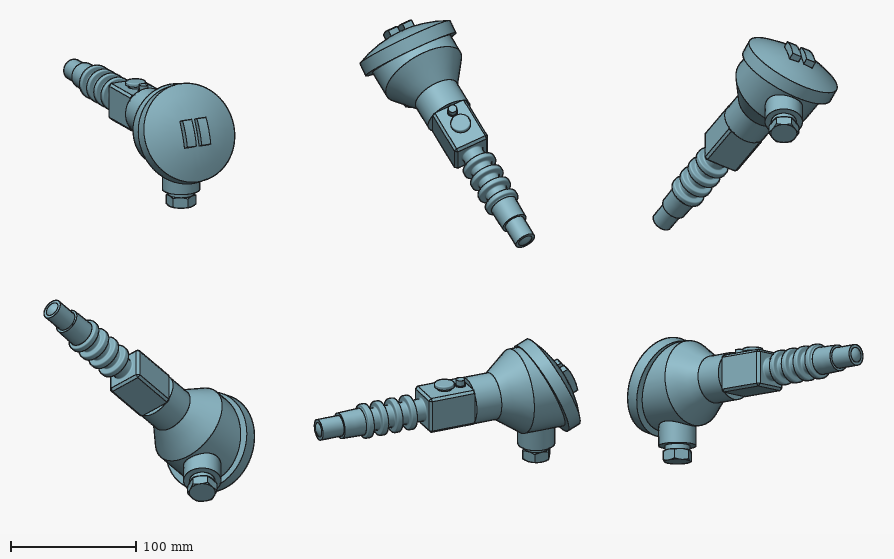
import cadquery as cq
import math


tip_height = 2.3
tip_base_d = 12.0
tip_tube_d = 17.0
sleeve_start = 20.7
sleeve_start_d = 21.0
sleeve_end_d = 22.0
shaft_d = 18.0

rib_count = 4
rib_start = 40.3
rib_pitch = 12.5
rib_width = 5.0
rib_d = 28.0
rib_edge_radius = 1.1
root_radius = 1.01

block_start = 93.2
block_side = 30.0
block_chamfer = 2.0
button_x = 112.8
button_d = 16.0
button_stem_d = 12.0
button_stem_height = 2.0
button_height = 4.7
button_edge_radius = 1.0
pin_x = 126.8
pin_d = 7.0
pin_foot_d = 8.3
pin_foot_height = 0.7
pin_height = 5.5

neck_start = 132.6
neck_d = 38.0
cone_start = 154.5
drum_start = 176.0
drum_d = 68.7

lid_tilt = 23.0
lid_d = 80.0
lid_thickness = 10.8
lid_face_x = 208.0
lid_face_z = 2.3
dome_height = 9.2
lug_height = 13.3
lug_top_bulge = 1.1
lug_length = 21.8
lug_offset = -1.5
lug_gap = 4.7
lug_width = 8.0

gland_x = 193.5
gland_boss_d = 30.0
gland_boss_end = -48.9
gland_neck_d = 20.3
nut_top = -53.0
nut_bottom = -61.7
nut_flats = 20.7
nut_chamfer_angle = 30.0


def x_cylinder(start, end, diameter):
    """Cylinder on the probe axis between two X positions."""
    return cq.Workplane("YZ", origin=(start, 0, 0)).circle(diameter / 2).extrude(end - start)


def x_cone(start, end, start_d, end_d):
    """Truncated cone on the probe axis between two X positions."""
    axis_start = cq.Vector(start, 0, 0)
    axis_dir = cq.Vector(1, 0, 0)
    return cq.Workplane(cq.Solid.makeCone(start_d / 2, end_d / 2, end - start, axis_start, axis_dir))


def z_cylinder(x, bottom, top, diameter):
    """Upright cylinder between two Z positions."""
    return cq.Workplane("XY", origin=(x, 0, bottom)).circle(diameter / 2).extrude(top - bottom)


def around_probe(profile):
    """Revolve a half profile, drawn in the XZ plane, about the probe axis."""
    return profile.close().revolve(360, (0, 0, 0), (1, 0, 0))


def cap_radius(height, base_d):
    """Sphere radius of a cap with the given height and base diameter."""
    return (height**2 + (base_d / 2) ** 2) / (2 * height)


def rib(start, left_d, right_d):
    """Rib with rounded rims, flared into the shaft diameter on each side."""
    end = start + rib_width
    rim_r = rib_d / 2
    left_r = left_d / 2
    right_r = right_d / 2
    profile = (
        cq.Workplane("XZ")
        .moveTo(start - root_radius, 0)
        .lineTo(start - root_radius, left_r)
        .radiusArc((start, left_r + root_radius), -root_radius)
        .lineTo(start, rim_r - rib_edge_radius)
        .radiusArc((start + rib_edge_radius, rim_r), rib_edge_radius)
        .lineTo(end - rib_edge_radius, rim_r)
        .radiusArc((end, rim_r - rib_edge_radius), rib_edge_radius)
        .lineTo(end, right_r + root_radius)
        .radiusArc((end + root_radius, right_r), -root_radius)
        .lineTo(end + root_radius, 0)
    )
    return around_probe(profile)


def probe():
    """Domed tip, thin tube, tapered sleeve and ribbed shaft up to the block."""
    tip = around_probe(
        cq.Workplane("XZ")
        .moveTo(0, 0)
        .radiusArc((tip_height, tip_base_d / 2), cap_radius(tip_height, tip_base_d))
        .lineTo(tip_height, 0)
    )
    body = tip.union(x_cylinder(tip_height, sleeve_start, tip_tube_d))
    body = body.union(x_cone(sleeve_start, rib_start, sleeve_start_d, sleeve_end_d))
    body = body.union(x_cylinder(rib_start, block_start, shaft_d))
    for index in range(rib_count):
        left_d = sleeve_end_d if index == 0 else shaft_d
        body = body.union(rib(rib_start + index * rib_pitch, left_d, shaft_d))
    shaft_r = shaft_d / 2
    flare = around_probe(
        cq.Workplane("XZ")
        .moveTo(block_start - root_radius, 0)
        .lineTo(block_start - root_radius, shaft_r)
        .radiusArc((block_start, shaft_r + root_radius), -root_radius)
        .lineTo(block_start, 0)
    )
    return body.union(flare)


def block():
    """Square block, chamfered on its long edges and around its front face."""
    length = neck_start - block_start
    return (
        cq.Workplane("YZ", origin=(block_start, 0, 0))
        .rect(block_side, block_side)
        .extrude(length)
        .edges("|X or <X")
        .chamfer(block_chamfer)
    )


def button_and_pin():
    """Flat button on a stem, and a small pin with a wider foot."""
    base = block_side / 2
    cap = z_cylinder(button_x, base + button_stem_height, base + button_height, button_d)
    cap = cap.faces(">Z").edges().fillet(button_edge_radius)
    stem = z_cylinder(button_x, base, base + button_stem_height, button_stem_d)
    foot = z_cylinder(pin_x, base, base + pin_foot_height, pin_foot_d)
    pin = z_cylinder(pin_x, base, base + pin_height, pin_d)
    return cap.union(stem).union(foot).union(pin)


def lid_plane():
    """Plane of the lid face: local X runs along Y, local Y climbs the face, the normal points outward."""
    tilt = math.radians(lid_tilt)
    return cq.Plane(
        origin=(lid_face_x, 0, lid_face_z),
        xDir=(0, 1, 0),
        normal=(math.cos(tilt), 0, math.sin(tilt)),
    )


def drum():
    """Drum behind the cone, cut off along the face of the tilted lid."""
    beyond_lid = cq.Workplane(lid_plane()).rect(2 * lid_d, 2 * lid_d).extrude(lid_d)
    return x_cylinder(drum_start, lid_face_x + lid_d / 2, drum_d).cut(beyond_lid)


def lid():
    """Round lid plate with a shallow spherical dome and two lugs."""
    plate = cq.Workplane(lid_plane()).circle(lid_d / 2).extrude(-lid_thickness)
    dome_r = cap_radius(dome_height, lid_d)
    ball = cq.Workplane(lid_plane()).workplane(offset=dome_height - dome_r).sphere(dome_r)
    dome = cq.Workplane(lid_plane()).circle(lid_d / 2).extrude(2 * dome_height).intersect(ball)
    return plate.union(dome).union(lug(1)).union(lug(-1))


def lug(side):
    """Bar standing on the dome with a slightly arched top, on one side of the middle plane."""
    middle_y = side * (lug_gap + lug_width) / 2
    side_plane = cq.Plane(
        origin=(lid_face_x, middle_y, lid_face_z),
        xDir=lid_plane().yDir.toTuple(),
        normal=(0, 1, 0),
    )
    low = lug_offset - lug_length / 2
    high = lug_offset + lug_length / 2
    return (
        cq.Workplane(side_plane)
        .moveTo(low, 0)
        .lineTo(low, lug_height)
        .threePointArc((lug_offset, lug_height + lug_top_bulge), (high, lug_height))
        .lineTo(high, 0)
        .close()
        .extrude(lug_width / 2, both=True)
    )


def chamfered_nut():
    """Hexagon nut with corners turned down at both ends."""
    corner_d = nut_flats / math.cos(math.pi / 6)
    chamfer_out = (corner_d - nut_flats) / 2
    chamfer_height = chamfer_out * math.tan(math.radians(nut_chamfer_angle))
    height = nut_top - nut_bottom
    base = cq.Workplane("XY", origin=(gland_x, 0, nut_bottom))
    hexagon = base.polygon(6, corner_d).extrude(height)
    turned = base.circle(corner_d / 2).extrude(height).edges().chamfer(chamfer_height, chamfer_out)
    return hexagon.intersect(turned)


def gland():
    """Boss below the drum, a thinner neck and the nut."""
    boss = z_cylinder(gland_x, gland_boss_end, 0, gland_boss_d)
    neck = z_cylinder(gland_x, nut_top, gland_boss_end, gland_neck_d)
    return boss.union(neck).union(chamfered_nut())


head = (
    x_cylinder(neck_start, cone_start, neck_d)
    .union(x_cone(cone_start, drum_start, neck_d, drum_d))
    .union(drum())
    .union(lid())
    .union(gland())
)
result = probe().union(block()).union(button_and_pin()).union(head)